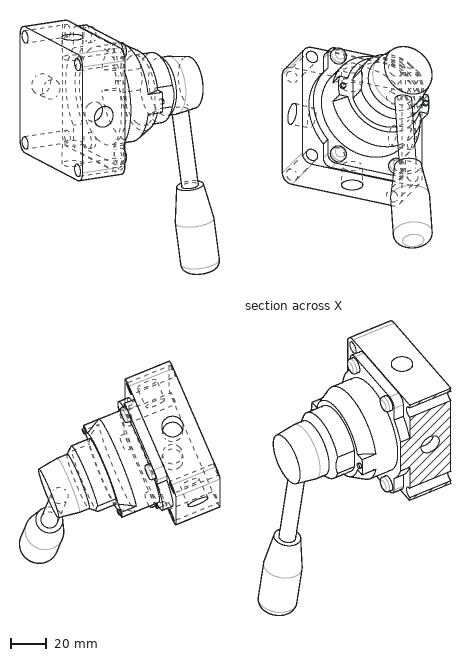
import cadquery as cq


BLOCK_SIDE = 74.0
BLOCK_DEPTH = 27.0
BLOCK_CORNER_RADIUS = 6.0
MOUNT_HOLE_DIAMETER = 7.0
MOUNT_HOLE_SPACING = 62.0

PORT_DIAMETER = 12.0
PORT_DEPTH = 12.0
PORT_TAPER = 1 / 16
PORT_Y = BLOCK_DEPTH / 2
PORT_COUNT = 4

FLANGE_THICKNESS = 6.0
FLANGE_DIAMETER = 66.0
EAR_WIDTH = 48.0
EAR_LENGTH = 73.0
EAR_CORNER_RADIUS = 5.0
SCREW_HEAD_DIAMETER = 9.0
SCREW_HEAD_HEIGHT = 3.5
SCREW_HEAD_ROUNDING = 1.5
SCREW_SPACING_X = 36.0
SCREW_SPACING_Z = 62.0

BONNET_DIAMETER = 56.0
BONNET_LENGTH = 14.0
BONNET_CONE_LENGTH = 9.0
BONNET_CONE_END_DIAMETER = 46.0
LUG_WIDTH = 11.8
PIN_DIAMETER = 3.0
PIN_HEIGHT = 1.3
PIN_X = 25.5

NECK_DIAMETER = 40.0
NECK_LENGTH = 11.0
NECK_CONE_LENGTH = 4.0
NECK_ACROSS_FLATS = 38.0

KNOB_DIAMETER = 33.0
KNOB_STRAIGHT_LENGTH = 6.0
KNOB_TAPER_LENGTH = 12.0
KNOB_END_DIAMETER = 29.5

LEVER_Y = 80.06
LEVER_TILT = 8.0
ROD_DIAMETER = 9.5
GRIP_START = 61.0
GRIP_TAPER_END = 81.8
LEVER_LENGTH = 111.93
GRIP_START_DIAMETER = 15.3
GRIP_DIAMETER = 22.0
GRIP_END_ROUNDING = 5.0

FLANGE_END = BLOCK_DEPTH + FLANGE_THICKNESS
BONNET_CONE_START = FLANGE_END + BONNET_LENGTH
BONNET_END = BONNET_CONE_START + BONNET_CONE_LENGTH
NECK_CONE_START = BONNET_END + NECK_LENGTH
NECK_END = NECK_CONE_START + NECK_CONE_LENGTH
KNOB_TAPER_START = NECK_END + KNOB_STRAIGHT_LENGTH
KNOB_END = KNOB_TAPER_START + KNOB_TAPER_LENGTH


def plane_at(y):
    """Sketch plane across the valve axis at y: local x is X, local y is -Z, extrusions run toward +Y."""
    return cq.Workplane(cq.Plane(origin=(0, y, 0), xDir=(1, 0, 0), normal=(0, 1, 0)))


def make_block():
    block = (
        plane_at(0)
        .rect(BLOCK_SIDE, BLOCK_SIDE)
        .extrude(BLOCK_DEPTH)
        .edges("|Y")
        .fillet(BLOCK_CORNER_RADIUS)
    )
    mount_holes = (
        plane_at(0)
        .rect(MOUNT_HOLE_SPACING, MOUNT_HOLE_SPACING, forConstruction=True)
        .vertices()
        .circle(MOUNT_HOLE_DIAMETER / 2)
        .extrude(BLOCK_DEPTH)
    )
    block = block.cut(mount_holes)
    port_floor_diameter = PORT_DIAMETER - PORT_TAPER * PORT_DEPTH
    top_port = (
        cq.Workplane("XY", origin=(0, PORT_Y, BLOCK_SIDE / 2))
        .circle(PORT_DIAMETER / 2)
        .workplane(offset=-PORT_DEPTH)
        .circle(port_floor_diameter / 2)
        .loft()
    )
    for index in range(PORT_COUNT):
        port_angle = index * 360 / PORT_COUNT
        block = block.cut(top_port.rotate((0, 0, 0), (0, 1, 0), port_angle))
    return block


def make_flange():
    disc = plane_at(BLOCK_DEPTH).circle(FLANGE_DIAMETER / 2).extrude(FLANGE_THICKNESS)
    ears = (
        plane_at(BLOCK_DEPTH)
        .rect(EAR_WIDTH, EAR_LENGTH)
        .extrude(FLANGE_THICKNESS)
        .edges("|Y")
        .fillet(EAR_CORNER_RADIUS)
    )
    screw_heads = (
        plane_at(FLANGE_END)
        .rect(SCREW_SPACING_X, SCREW_SPACING_Z, forConstruction=True)
        .vertices()
        .circle(SCREW_HEAD_DIAMETER / 2)
        .extrude(SCREW_HEAD_HEIGHT)
        .faces(">Y")
        .edges()
        .fillet(SCREW_HEAD_ROUNDING)
    )
    return disc.union(ears).union(screw_heads)


def make_bonnet():
    radius = BONNET_DIAMETER / 2
    bonnet = (
        cq.Workplane("XY")
        .moveTo(0, FLANGE_END)
        .lineTo(radius, FLANGE_END)
        .lineTo(radius, BONNET_CONE_START)
        .lineTo(BONNET_CONE_END_DIAMETER / 2, BONNET_END)
        .lineTo(0, BONNET_END)
        .close()
        .revolve(360, (0, 0, 0), (0, 1, 0))
    )
    lug_strip = plane_at(BONNET_CONE_START).rect(BONNET_DIAMETER, LUG_WIDTH).extrude(BONNET_CONE_LENGTH)
    lugs = plane_at(BONNET_CONE_START).circle(radius).extrude(BONNET_CONE_LENGTH).intersect(lug_strip)
    pins = (
        plane_at(BONNET_END)
        .pushPoints([(-PIN_X, 0), (PIN_X, 0)])
        .circle(PIN_DIAMETER / 2)
        .extrude(PIN_HEIGHT)
    )
    return bonnet.union(lugs).union(pins)


def make_neck():
    neck = (
        cq.Workplane("XY")
        .moveTo(0, BONNET_END)
        .lineTo(NECK_DIAMETER / 2, BONNET_END)
        .lineTo(NECK_DIAMETER / 2, NECK_CONE_START)
        .lineTo(KNOB_DIAMETER / 2, NECK_END)
        .lineTo(0, NECK_END)
        .close()
        .revolve(360, (0, 0, 0), (0, 1, 0))
    )
    between_flats = plane_at(BONNET_END).rect(NECK_ACROSS_FLATS, NECK_DIAMETER).extrude(NECK_END - BONNET_END)
    return neck.intersect(between_flats)


def make_knob():
    return (
        cq.Workplane("XY")
        .moveTo(0, NECK_END)
        .lineTo(KNOB_DIAMETER / 2, NECK_END)
        .lineTo(KNOB_DIAMETER / 2, KNOB_TAPER_START)
        .lineTo(KNOB_END_DIAMETER / 2, KNOB_END)
        .lineTo(0, KNOB_END)
        .close()
        .revolve(360, (0, 0, 0), (0, 1, 0))
    )


def make_lever():
    """Rod and grip, revolved hanging straight down and then tilted away from the block."""
    lever = (
        cq.Workplane("XZ", origin=(0, LEVER_Y, 0))
        .lineTo(ROD_DIAMETER / 2, 0)
        .lineTo(ROD_DIAMETER / 2, -GRIP_START)
        .lineTo(GRIP_START_DIAMETER / 2, -GRIP_START)
        .lineTo(GRIP_DIAMETER / 2, -GRIP_TAPER_END)
        .lineTo(GRIP_DIAMETER / 2, -LEVER_LENGTH)
        .lineTo(0, -LEVER_LENGTH)
        .close()
        .revolve(360, (0, 0, 0), (0, 1, 0))
        .faces("<Z")
        .edges()
        .fillet(GRIP_END_ROUNDING)
    )
    return lever.rotate((0, LEVER_Y, 0), (1, LEVER_Y, 0), LEVER_TILT)


result = (
    make_block()
    .union(make_flange())
    .union(make_bonnet())
    .union(make_neck())
    .union(make_knob())
    .union(make_lever())
)